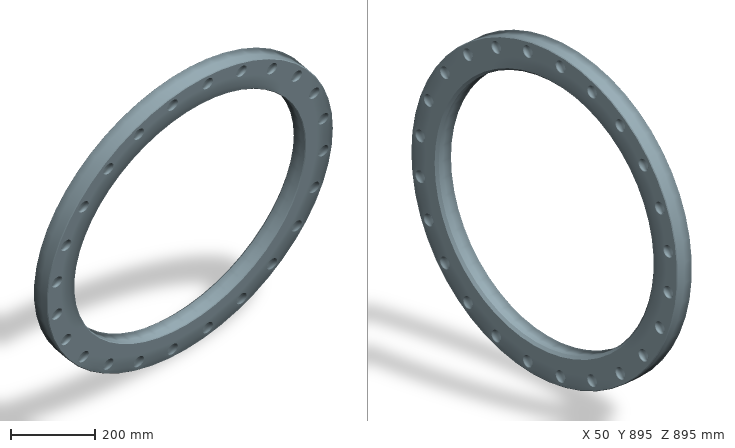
import cadquery as cq

outer_diameter = 895.0
bore_diameter = 721.0
thickness = 50.0
rim_chamfer = 2.0
bore_entry_chamfer = 6.9
bore_exit_chamfer = rim_chamfer
diameter_tolerance = 0.1

bolt_count = 24
bolt_circle_diameter = 839.5
bolt_hole_diameter = 30.0
bolt_hole_chamfer = 1.0
bolt_pitch_angle = 360.0 / bolt_count


def ring():
    """Flat ring with its axis along X, centred on the origin."""
    return (
        cq.Workplane("YZ", origin=(-thickness / 2, 0, 0))
        .circle(outer_diameter / 2)
        .circle(bore_diameter / 2)
        .extrude(thickness)
    )


def chamfer_circle(body, face_selector, diameter, size):
    """Chamfer the circular edge of the given diameter on one end face."""
    edges = body.faces(face_selector).edges("%CIRCLE").filter(
        lambda edge: abs(2 * edge.radius() - diameter) < diameter_tolerance
    )
    return body.newObject(edges.vals()).chamfer(size)


def chamfer_ring(body):
    """Chamfer both outer rims, the bore entry at -X and the bore exit at +X."""
    body = chamfer_circle(body, "<X", outer_diameter, rim_chamfer)
    body = chamfer_circle(body, ">X", outer_diameter, rim_chamfer)
    body = chamfer_circle(body, "<X", bore_diameter, bore_entry_chamfer)
    return chamfer_circle(body, ">X", bore_diameter, bore_exit_chamfer)


def bolt_hole_cutter():
    """Bolt hole along X, widened at both ends to leave a chamfer on each rim."""
    hole_radius = bolt_hole_diameter / 2
    mouth_radius = hole_radius + bolt_hole_chamfer
    half_thickness = thickness / 2
    straight_end = half_thickness - bolt_hole_chamfer
    return (
        cq.Workplane("XY")
        .moveTo(-half_thickness, 0)
        .lineTo(-half_thickness, mouth_radius)
        .lineTo(-straight_end, hole_radius)
        .lineTo(straight_end, hole_radius)
        .lineTo(half_thickness, mouth_radius)
        .lineTo(half_thickness, 0)
        .close()
        .revolve(360, (0, 0, 0), (1, 0, 0))
    )


def cut_bolt_holes(body):
    """Cut the bolt circle, with holes straddling the Y and Z axes."""
    first_hole = bolt_hole_cutter().translate((0, bolt_circle_diameter / 2, 0))
    for index in range(bolt_count):
        angle = bolt_pitch_angle / 2 + index * bolt_pitch_angle
        body = body.cut(first_hole.rotate((0, 0, 0), (1, 0, 0), angle))
    return body


result = cut_bolt_holes(chamfer_ring(ring()))